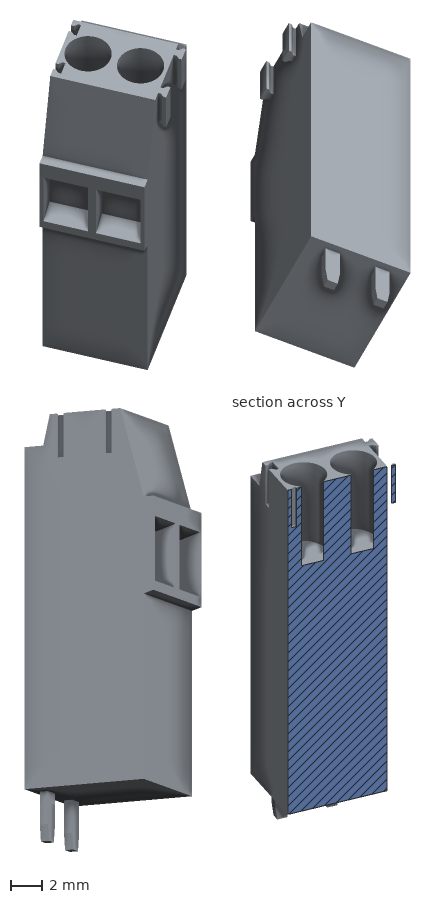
import cadquery as cq


pole_count = 2
pole_pitch = 3.5
housing_width = pole_count * pole_pitch
housing_depth = 8.45
pin_length = 3.2
housing_height = 27.3 - pin_length

back_step_height = 2.0
back_step_depth = 1.35
crown_back = 1.8
crown_front = 6.8
slope_height = 5.85

nose_projection = 0.68
nose_front = housing_depth + nose_projection
nose_top = housing_height - slope_height
nose_height = 6.1
nose_bottom = nose_top - nose_height
nose_undercut = 0.2

window_width = 2.98
window_mouth_height = 4.18
window_taper = 0.4
window_depth = 1.36
window_top = nose_top - 1.28

screw_hole_diameter = 3.0
screw_hole_from_back = 4.29
screw_hole_depth = slope_height

rail_projection = 0.6
rail_neck_width = 0.5
rail_head_width = 0.93
rail_neck_length = 0.2
rail_head_start = 0.4
rail_height = 2.85
rail_from_back = (2.55, 5.92)

pin_width = 1.0
pin_thickness = 0.57
pin_tip_width = 0.7
pin_tip_length = 1.06
pin_from_back = 0.5

pole_centers = [(i + 0.5) * pole_pitch for i in range(pole_count)]


def make_shell():
    """Side profile extruded across the full housing width."""
    profile = [
        (0, 0),
        (0, housing_height - back_step_height),
        (-back_step_depth, housing_height - back_step_height),
        (-crown_back, housing_height),
        (-crown_front, housing_height),
        (-housing_depth, nose_top),
        (-nose_front, nose_top),
        (-nose_front, nose_bottom),
        (-housing_depth, nose_bottom - nose_undercut),
        (-housing_depth, 0),
    ]
    return cq.Workplane("YZ").polyline(profile).close().extrude(housing_width)


def make_window(center_x):
    """Wire window whose roof and floor converge towards its back wall."""
    window_bottom = window_top - window_mouth_height
    back_y = window_depth - nose_front
    side_outline = [
        (-nose_front, window_bottom),
        (-nose_front, window_top),
        (back_y, window_top - window_taper),
        (back_y, window_bottom + window_taper),
    ]
    window = cq.Workplane("YZ").polyline(side_outline).close().extrude(window_width)
    return window.translate((center_x - window_width / 2, 0, 0))


def make_screw_hole(center_x):
    """Blind round hole sunk from the top face."""
    hole = cq.Workplane("XY").circle(screw_hole_diameter / 2).extrude(screw_hole_depth)
    return hole.translate((center_x, -screw_hole_from_back, housing_height - screw_hole_depth))


def make_rail(root_x, from_back):
    """Upright bar with a narrow neck at root_x and a flared head towards +X."""
    half_neck = rail_neck_width / 2
    half_head = rail_head_width / 2
    section = [
        (0, -half_neck),
        (rail_neck_length, -half_neck),
        (rail_head_start, -half_head),
        (rail_projection, -half_head),
        (rail_projection, half_head),
        (rail_head_start, half_head),
        (rail_neck_length, half_neck),
        (0, half_neck),
    ]
    rail = cq.Workplane("XY").polyline(section).close().extrude(rail_height)
    return rail.translate((root_x, -from_back, housing_height - rail_height))


def make_housing():
    """Shell with its windows, screw holes, grooves on -X and rails on +X."""
    body = make_shell()
    for center_x in pole_centers:
        body = body.cut(make_window(center_x))
        body = body.cut(make_screw_hole(center_x))
    for from_back in rail_from_back:
        body = body.cut(make_rail(0, from_back))
        body = body.union(make_rail(housing_width, from_back))
    return body


def make_pin(center_x):
    """Flat solder pin with a tapered tip, butting against the housing underside."""
    outline = [
        (-pin_width / 2, 0),
        (pin_width / 2, 0),
        (pin_width / 2, pin_tip_length - pin_length),
        (pin_tip_width / 2, -pin_length),
        (-pin_tip_width / 2, -pin_length),
        (-pin_width / 2, pin_tip_length - pin_length),
    ]
    pin = cq.Workplane("XZ").polyline(outline).close().extrude(pin_thickness)
    return pin.translate((center_x, -pin_from_back, 0))


housing = make_housing()
pins = [make_pin(center_x) for center_x in pole_centers]

result = cq.Compound.makeCompound([housing.val(), *[pin.val() for pin in pins]])